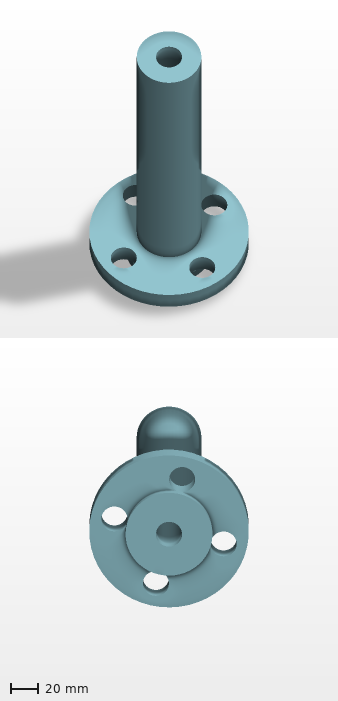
import cadquery as cq

total_height = 233.4

face_diameter = 64.0
face_height = 6.8

flange_diameter = 117.4
flange_thickness = 14.2

neck_diameter = 47.5
bore_diameter = 19.1

bolt_count = 4
bolt_circle_diameter = 82.5
bolt_hole_diameter = 19.1

flange_top = face_height + flange_thickness
neck_height = total_height - flange_top


def disc(diameter, height, base_z):
    """Solid cylinder on the Z axis, standing on base_z."""
    return cq.Workplane("XY").workplane(offset=base_z).circle(diameter / 2).extrude(height)


def bolt_holes():
    """Cutters for the bolt holes through the flange plate."""
    return (
        cq.Workplane("XY")
        .workplane(offset=face_height)
        .polarArray(bolt_circle_diameter / 2, 0, 360, bolt_count)
        .circle(bolt_hole_diameter / 2)
        .extrude(flange_thickness)
    )


raised_face = disc(face_diameter, face_height, 0)
flange = disc(flange_diameter, flange_thickness, face_height).cut(bolt_holes())
neck = disc(neck_diameter, neck_height, flange_top)
bore = disc(bore_diameter, total_height, 0)

result = raised_face.union(flange).union(neck).cut(bore)